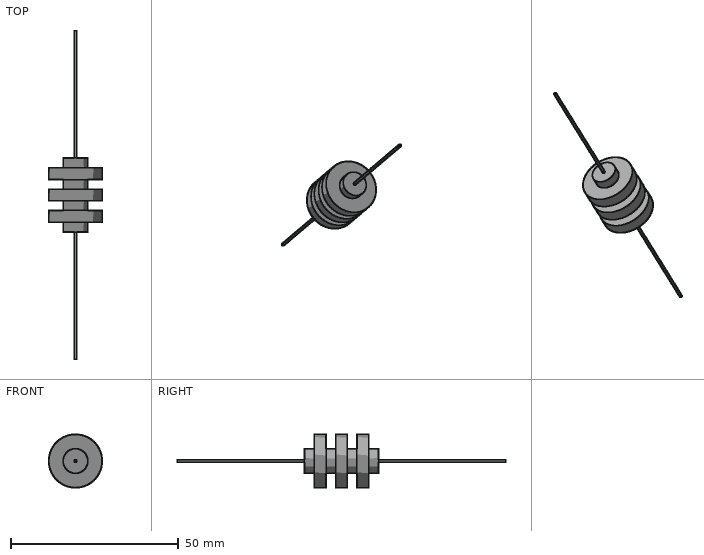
import cadquery as cq

total_length = 98.4
lead_diameter = 0.8
core_length = 22.2
core_diameter = 7.4
flange_diameter = 16.0
flange_width = 3.5
flange_pitch = 6.4


def cylinder_on_y(diameter, length, center_y=0.0):
    """Cylinder along Y, centred at center_y."""
    end_plane = cq.Workplane("XZ", origin=(0, center_y + length / 2, 0))
    return end_plane.circle(diameter / 2).extrude(length)


result = cylinder_on_y(lead_diameter, total_length)
result = result.union(cylinder_on_y(core_diameter, core_length))

for center_y in (-flange_pitch, 0.0, flange_pitch):
    result = result.union(cylinder_on_y(flange_diameter, flange_width, center_y))